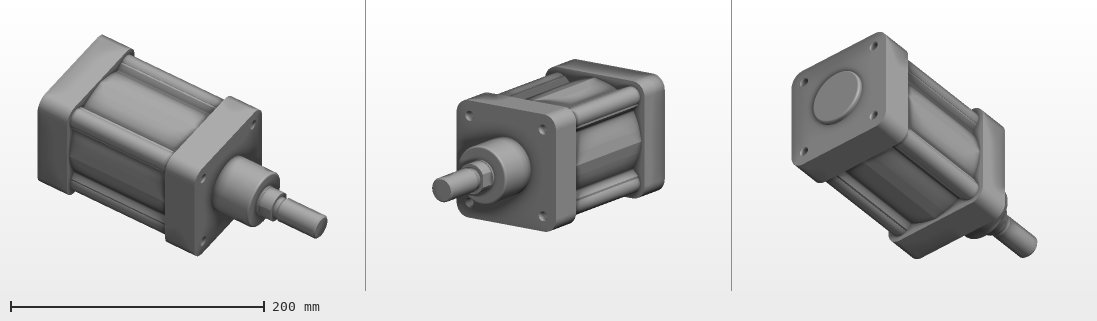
import cadquery as cq
import math


cap_side = 96.0
cap_corner_radius = 11.3
cap_thickness = 27.7
boss_diameter = 47.5
boss_edge_radius = 1.7
rear_boss_length = 4.0
front_boss_length = 34.2

hole_offset = 35.5
hole_diameter = 6.7
hole_mouth_diameter = 8.2
hole_mouth_angle = 45

barrel_length = 93.3
barrel_radius = 44.0
ridge_half_width = 9.2
column_radius = 8.2
web_half_width = 9.2
notch_inner = 28.7
notch_outer = 30.4
web_fillet = 1.7
web_side_shift = math.sqrt(2) * web_half_width

collar_diameter = 25.5
collar_length = 2.0
shank_diameter = 24.5
shank_length = 11.5
shank_across_flats = 22.2
neck_diameter = 18.0
neck_length = 3.5
thread_diameter = 20.0
thread_runout = 1.7
thread_chamfer = 1.2

overall_length = 241.0
rear_cap_start = rear_boss_length
barrel_start = rear_cap_start + cap_thickness
front_cap_start = barrel_start + barrel_length
front_cap_end = front_cap_start + cap_thickness
rod_start = front_cap_end + front_boss_length


def section_plane(x):
    """Plane across the cylinder at x, with local axes along Y and Z and normal +X."""
    return cq.Workplane("YZ", origin=(x, 0, 0))


def make_cap(boss_length):
    """Cap with its inner face at x = 0 and its boss toward +X."""
    plate = (
        section_plane(0)
        .rect(cap_side, cap_side)
        .extrude(cap_thickness)
        .edges("|X")
        .fillet(cap_corner_radius)
    )
    boss = (
        section_plane(cap_thickness)
        .circle(boss_diameter / 2)
        .extrude(boss_length)
        .faces(">X")
        .fillet(boss_edge_radius)
    )
    holes = (
        section_plane(0)
        .rect(2 * hole_offset, 2 * hole_offset, forConstruction=True)
        .vertices()
        .circle(hole_diameter / 2)
        .extrude(cap_thickness)
    )
    mouth_depth = (hole_mouth_diameter - hole_diameter) / 2
    mouths = (
        section_plane(cap_thickness)
        .rect(2 * hole_offset, 2 * hole_offset, forConstruction=True)
        .vertices()
        .circle(hole_mouth_diameter / 2)
        .extrude(-mouth_depth, taper=hole_mouth_angle)
    )
    return plate.union(boss).cut(holes).cut(mouths)


def make_core():
    """Round barrel core with a low ridge on each of its four sides."""
    core = section_plane(barrel_start).circle(barrel_radius).extrude(barrel_length)
    tangent_height = math.sqrt(barrel_radius**2 - ridge_half_width**2)
    peak_height = barrel_radius**2 / tangent_height
    ridge = (
        section_plane(barrel_start)
        .polyline(
            [
                (0, 0),
                (ridge_half_width, tangent_height),
                (0, peak_height),
                (-ridge_half_width, tangent_height),
            ]
        )
        .close()
        .extrude(barrel_length)
    )
    for quarter in range(4):
        core = core.union(ridge.rotate((0, 0, 0), (1, 0, 0), 90 * quarter))
    return core


def make_web():
    """Diagonal web in the +Y +Z corner, ending in the notches beside the column."""
    notch_ledge = notch_inner + web_side_shift
    return (
        section_plane(barrel_start)
        .polyline(
            [
                (0, web_side_shift),
                (notch_inner, notch_ledge),
                (notch_outer, notch_ledge),
                (hole_offset, hole_offset),
                (notch_ledge, notch_outer),
                (notch_ledge, notch_inner),
                (web_side_shift, 0),
            ]
        )
        .close()
        .extrude(barrel_length)
    )


def make_column():
    """Round column in the +Y +Z corner, trimmed square at the notches."""
    column = (
        section_plane(barrel_start)
        .center(hole_offset, hole_offset)
        .circle(column_radius)
        .extrude(barrel_length)
    )
    keep_size = hole_offset + column_radius - notch_outer
    keep_center = notch_outer + keep_size / 2
    keep = (
        section_plane(barrel_start)
        .center(keep_center, keep_center)
        .rect(keep_size, keep_size)
        .extrude(barrel_length)
    )
    return column.intersect(keep)


def web_root_edges():
    """Selector for the eight edges where the webs meet the round core."""
    near = (math.sqrt(2 * barrel_radius**2 - web_side_shift**2) - web_side_shift) / 2
    far = near + web_side_shift
    margin = 0.2
    selector = None
    for first, second in ((near, far), (far, near)):
        for y in (first, -first):
            for z in (second, -second):
                box = cq.selectors.BoxSelector(
                    (barrel_start, y - margin, z - margin),
                    (front_cap_start, y + margin, z + margin),
                )
                selector = box if selector is None else selector + box
    return selector


def make_barrel():
    """Extruded barrel with a column on a diagonal web at each corner."""
    barrel = make_core()
    corner = make_web().union(make_column())
    for quarter in range(4):
        barrel = barrel.union(corner.rotate((0, 0, 0), (1, 0, 0), 90 * quarter))
    return barrel.edges(web_root_edges()).fillet(web_fillet)


def make_rod():
    """Rod end turned about X: collar, shank with two flats, neck and thread."""
    shank_start = rod_start + collar_length
    neck_start = shank_start + shank_length
    neck_end = neck_start + neck_length
    thread_start = neck_end + thread_runout
    rod = (
        cq.Workplane("XY")
        .polyline(
            [
                (rod_start, 0),
                (rod_start, collar_diameter / 2),
                (shank_start, collar_diameter / 2),
                (shank_start, shank_diameter / 2),
                (neck_start, shank_diameter / 2),
                (neck_start, neck_diameter / 2),
                (neck_end, neck_diameter / 2),
                (thread_start, thread_diameter / 2),
                (overall_length - thread_chamfer, thread_diameter / 2),
                (overall_length, thread_diameter / 2 - thread_chamfer),
                (overall_length, 0),
            ]
        )
        .close()
        .revolve(360, (0, 0, 0), (1, 0, 0))
    )
    for side in (-1, 1):
        flat_cut = (
            section_plane(shank_start)
            .center(side * (shank_across_flats + shank_diameter) / 2, 0)
            .rect(shank_diameter, shank_diameter)
            .extrude(shank_length)
        )
        rod = rod.cut(flat_cut)
    return rod


rear_cap = make_cap(rear_boss_length).mirror("YZ").translate((barrel_start, 0, 0))
front_cap = make_cap(front_boss_length).translate((front_cap_start, 0, 0))
barrel = make_barrel()
rod = make_rod()

result = cq.Compound.makeCompound(
    [rear_cap.val(), barrel.val(), front_cap.val(), rod.val()]
)